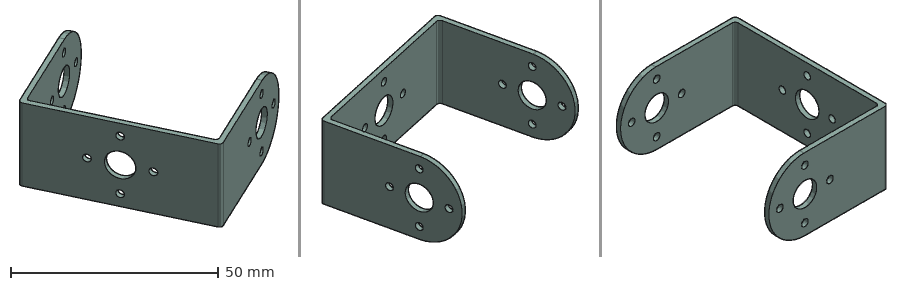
import cadquery as cq

width = 52.25
depth = 40.55
height = 24.6
thickness = 1.5
outer_bend_radius = 1.0
inner_bend_radius = 1.0

opening_diameter = 8.0
screw_diameter = 2.2
screw_circle_radius = 8.5

arm_hole_y = depth - height / 2

straight_overrun = 0.35
arm_straight_end = arm_hole_y + straight_overrun


def make_channel():
    """Web along X with an arm at each end, rounded at the two bends."""
    outside = (
        cq.Workplane("XY")
        .box(width, depth, height, centered=(True, False, True))
        .edges("|Z and <Y")
        .fillet(outer_bend_radius)
    )
    inside = (
        cq.Workplane("XY")
        .box(width - 2 * thickness, depth, height, centered=(True, False, True))
        .edges("|Z and <Y")
        .fillet(inner_bend_radius)
        .translate((0, thickness, 0))
    )
    return outside.cut(inside)


def make_arm_envelope():
    """Side profile with a nearly semicircular arc at the free end, swept across the width."""
    return (
        cq.Workplane("YZ")
        .moveTo(0, -height / 2)
        .lineTo(arm_straight_end, -height / 2)
        .threePointArc((depth, 0), (arm_straight_end, height / 2))
        .lineTo(0, height / 2)
        .close()
        .extrude(width / 2, both=True)
    )


def make_hole_cutter(plane, length):
    """Opening and screw holes as solids extending both ways from the plane."""
    opening = plane.circle(opening_diameter / 2).extrude(length, both=True)
    screws = (
        plane.polarArray(screw_circle_radius, 0, 360, 4)
        .circle(screw_diameter / 2)
        .extrude(length, both=True)
    )
    return opening.union(screws)


arm_holes = make_hole_cutter(cq.Workplane("YZ", origin=(0, arm_hole_y, 0)), width)
web_holes = make_hole_cutter(cq.Workplane("XZ"), 2 * thickness)

result = make_channel().intersect(make_arm_envelope()).cut(arm_holes).cut(web_holes)